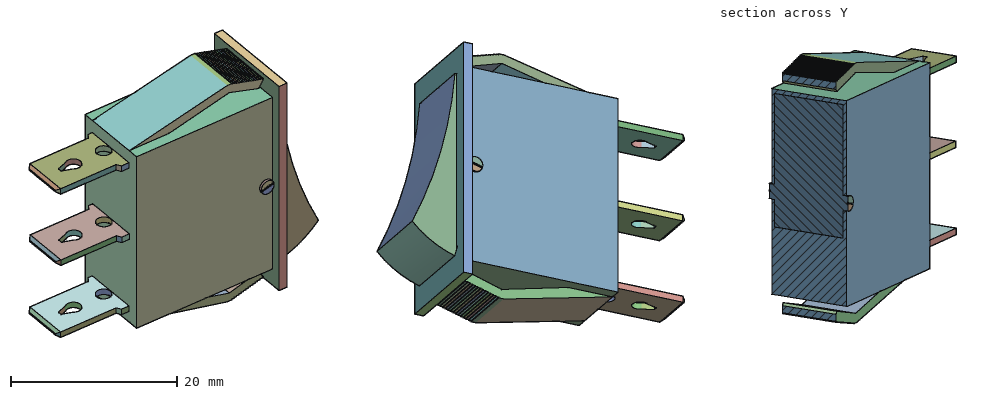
import cadquery as cq
import math


flange_width = 13.2
flange_height = 30.65
flange_thickness = 1.2
housing_width = 10.55
housing_height = 25.77
housing_depth = 20.25
rear_y = -housing_depth

clip_width = 7.52
clip_reach = 16.25
crest_rear_y = -5.65
crest_front_y = -4.93
step_count = 14
step_length = 0.345
step_rise = 0.098
lip_y = -0.23
inner_lip_y = -0.95
inner_lip_z = 13.75
inner_bend_y = -5.35
inner_bend_z = 15.05
inner_root_y = -14.3

pin_diameter = 1.9
pin_span = 11.1
pin_slot_width = 0.15
pin_slot_depth = 0.15
rocker_width = 9.5
rocker_shift_x = 0.055
rocker_tilt = 15.4
rocker_tip_front = 5.45
rocker_tip_half_length = 10.85
face_front = 4.45
base_back = pin_diameter / 2
pivot_y = -pin_diameter / 2

blade_width = 6.3
blade_thickness = 0.83
blade_length = 10.2
shoulder_width = 7.5
short_shoulder = 0.65
long_shoulder = 1.13
shoulder_slope = 0.35
tip_length = 0.45
tip_inset = 0.45
tip_thickness = 0.23
hole_diameter = 2.0
hole_distance = 1.05
drop_distance = 5.53
drop_end_distance = 7.6
drop_end_width = 0.53
outer_terminal_shift_x = -0.05
middle_terminal_shift_x = 0.05
terminal_places = [
    (outer_terminal_shift_x, 10.65),
    (middle_terminal_shift_x, 0),
    (outer_terminal_shift_x, -10.87),
]


def prism_along_x(outline, width):
    """Extrude a closed YZ outline symmetrically about X = 0."""
    return outline.extrude(width).translate((-width / 2, 0, 0))


def plate_along_z(outline, thickness):
    """Extrude closed XY outlines symmetrically about Z = 0."""
    return outline.extrude(thickness).translate((0, 0, -thickness / 2))


def make_clip():
    """Bent spring arm above the housing, with a stepped front slope."""
    root_z = housing_height / 2
    points = [
        (rear_y, root_z),
        (crest_rear_y, clip_reach),
    ]
    for step in range(step_count):
        y = crest_front_y + step * step_length
        z = clip_reach - step * step_rise
        points += [(y, z), (y, z - step_rise)]
    points += [
        (lip_y, clip_reach - step_count * step_rise),
        (inner_lip_y, inner_lip_z),
        (inner_bend_y, inner_bend_z),
        (inner_root_y, root_z),
    ]
    return prism_along_x(cq.Workplane("YZ").polyline(points).close(), clip_width)


def make_rocker():
    """Dished rocker with round ends and a pivot pin that sticks out on both sides."""
    end_radius = math.hypot(rocker_tip_front + base_back, rocker_tip_half_length)
    half_angle = math.atan2(rocker_tip_front + base_back, rocker_tip_half_length) / 2
    end_middle_y = end_radius * math.sin(half_angle) - base_back
    end_middle_z = end_radius * math.cos(half_angle)
    outline = (
        cq.Workplane("YZ")
        .moveTo(-base_back, -end_radius)
        .threePointArc((end_middle_y, -end_middle_z), (rocker_tip_front, -rocker_tip_half_length))
        .threePointArc((face_front, 0), (rocker_tip_front, rocker_tip_half_length))
        .threePointArc((end_middle_y, end_middle_z), (-base_back, end_radius))
        .close()
    )
    body = prism_along_x(outline, rocker_width)
    pin = prism_along_x(cq.Workplane("YZ").circle(pin_diameter / 2), pin_span)
    rocker = body.union(pin)
    return (
        rocker.rotate((0, 0, 0), (1, 0, 0), rocker_tilt)
        .translate((rocker_shift_x, pivot_y, 0))
    )


def cut_pin_slots(rocker):
    """Shallow slot across each end of the pin, tilted with the rocker."""
    for side in (-1, 1):
        slot = (
            cq.Workplane("XY")
            .box(2 * pin_slot_depth, 2 * pin_diameter, pin_slot_width)
            .rotate((0, 0, 0), (1, 0, 0), rocker_tilt)
            .translate((rocker_shift_x + side * pin_span / 2, pivot_y, 0))
        )
        rocker = rocker.cut(slot)
    return rocker


def make_housing(rocker_space):
    """Flange, box and two clips, with a recess that fits the rocker and its pin."""
    flange = cq.Workplane("XY").box(
        flange_width, flange_thickness, flange_height, centered=(True, False, True)
    )
    box = (
        cq.Workplane("XY")
        .box(housing_width, housing_depth, housing_height, centered=(True, False, True))
        .translate((0, rear_y, 0))
    )
    clip = make_clip()
    return flange.union(box).union(clip).union(clip.mirror("XY")).cut(rocker_space)


def make_terminal(x, z):
    """Blade with unequal shoulders, a round hole, a drop-shaped hole and a tapered tip."""
    half_blade = blade_width / 2
    half_shoulder = shoulder_width / 2
    tip_y = rear_y - blade_length
    taper_y = tip_y + tip_length
    short_y = rear_y - short_shoulder
    long_y = rear_y - long_shoulder
    blade_outline = (
        cq.Workplane("XY")
        .polyline(
            [
                (-half_shoulder, rear_y),
                (-half_shoulder, short_y),
                (-half_blade, short_y - shoulder_slope),
                (-half_blade, taper_y),
                (-half_blade + tip_inset, tip_y),
                (half_blade - tip_inset, tip_y),
                (half_blade, taper_y),
                (half_blade, long_y - shoulder_slope),
                (half_shoulder, long_y),
                (half_shoulder, rear_y),
            ]
        )
        .close()
    )
    blade = plate_along_z(blade_outline, blade_thickness)
    side_outline = (
        cq.Workplane("YZ")
        .polyline(
            [
                (rear_y, -blade_thickness / 2),
                (rear_y, blade_thickness / 2),
                (taper_y, blade_thickness / 2),
                (tip_y, tip_thickness / 2),
                (tip_y, -tip_thickness / 2),
                (taper_y, -blade_thickness / 2),
            ]
        )
        .close()
    )
    blade = blade.intersect(prism_along_x(side_outline, shoulder_width))

    drop_y = rear_y - drop_distance
    drop_end_y = rear_y - drop_end_distance
    round_holes = (
        cq.Workplane("XY")
        .pushPoints([(0, rear_y - hole_distance), (0, drop_y)])
        .circle(hole_diameter / 2)
    )
    drop_taper = (
        cq.Workplane("XY")
        .polyline(
            [
                (-hole_diameter / 2, drop_y),
                (hole_diameter / 2, drop_y),
                (drop_end_width / 2, drop_end_y),
                (-drop_end_width / 2, drop_end_y),
            ]
        )
        .close()
    )
    for hole in (round_holes, drop_taper):
        blade = blade.cut(plate_along_z(hole, blade_thickness))
    return blade.translate((x, 0, z))


rocker_space = make_rocker()
housing = make_housing(rocker_space)
rocker = cut_pin_slots(rocker_space)
terminals = [make_terminal(x, z) for x, z in terminal_places]

result = cq.Compound.makeCompound(
    [housing.val(), rocker.val(), *[terminal.val() for terminal in terminals]]
)